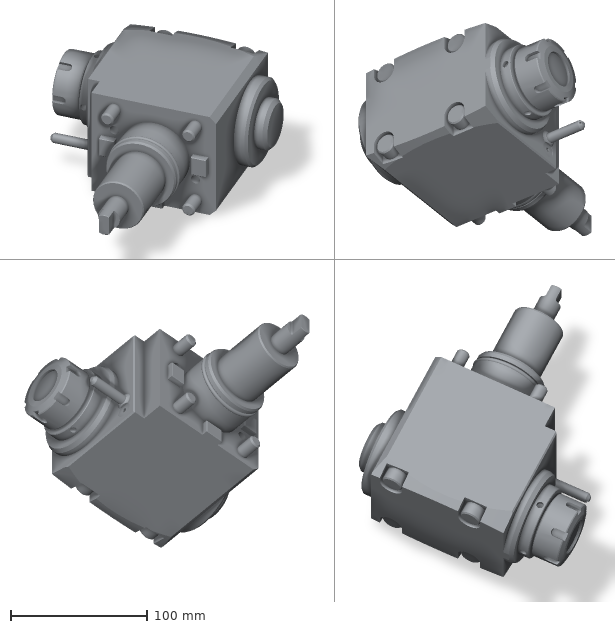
import cadquery as cq
import math


HOUSING_LEFT = -60.2
HOUSING_RIGHT = 48.2
HOUSING_DEPTH = 106.5
HALF_HEIGHT = 42.5
STEP_LEFT = -50.0
STEP_DEPTH = 17.0
LEFT_CHAMFER = 1.1
RIGHT_CHAMFER = 5.0

RELIEF_AXIS_X = -7.5
RELIEF_RADIUS = 132.0
RELIEF_REAR_Y = 100.0
RELIEF_SLOPE = 0.32
RELIEF_REACH = 40.0

SCREW_OFFSET = 32.0
SCREW_RADIUS = 5.0
SCREW_PROJECTION = 15.3
SCREW_CHAMFER = 1.2
HEAD_RADIUS = 8.0
HEAD_HEIGHT = 10.0
HEAD_CHAMFER = 1.0
POCKET_RADIUS = 9.1
POCKET_DEPTH = 11.5

KEY_HEIGHT = 5.0
KEY_LENGTH = 15.0
KEY_WIDTH = 12.0
SIDE_KEY_X = 36.2
KEY_CHAMFER = 0.5
LOCATING_X = 32.0
LOCATING_Z = 14.1
LOCATING_RADIUS = 3.5
LOCATING_DEPTH = 10.0
DRILL_HALF_ANGLE = math.radians(59)

SPIGOT_RADIUS = 27.5
SPIGOT_END = 30.0
SPIGOT_CHAMFER = (0.9, 1.9)
RING_POSITION = 22.3
RING_SECTION = 1.65
RING_CENTRE_RADIUS = 26.6
GROOVE_START = 20.9
GROOVE_END = 24.7
GROOVE_RADIUS = 25.2
SHANK_RADIUS = 20.0
SHANK_END = 75.5
SHANK_CHAMFER = (0.7, 1.3)
DRIVE_RADIUS = 8.5
DRIVE_END = 104.0
DRIVE_CHAMFER = 0.4
TANG_START = 93.6
TANG_THICKNESS = 8.0
TANG_FILLET = 1.3

SPINDLE_Y = 70.0
COLLAR_LEFT = -67.8
COLLAR_RADIUS = 36.8
COLLAR_CHAMFER = (1.8, 3.3)
FLANGE_LEFT = -76.3
FLANGE_RADIUS = 28.1
FLANGE_CHAMFER = 0.5
FLANGE_HOLE_X = -72.3
FLANGE_HOLE_RADIUS = 2.6
FLANGE_HOLE_DEPTH = 3.0
FLANGE_HOLES = 4
NOSE_RADIUS = 20.6
NOSE_LEFT = -90.0
COLLET_RADIUS = 13.6
COLLET_LEFT = -98.4

COVER_RADIUS = 33.9
COVER_RIGHT = 58.5
COVER_CHAMFER = 2.0
BUTTON_NECK_RADIUS = 19.3
BUTTON_NECK_RIGHT = 59.5
BUTTON_RADIUS = 19.6
BUTTON_RIGHT = 68.0
BUTTON_CHAMFER = 2.8

NUT_LEFT = -100.4
NUT_RIGHT = -77.8
NUT_RADIUS = 25.0
NUT_FACE_RADIUS = 18.1
NUT_CONE_RADIUS = 24.4
NUT_CONE_LENGTH = 1.8
NUT_EDGE_LENGTH = 2.6
NUT_REAR_CHAMFER = (0.5, 0.9)
SLOT_COUNT = 6
SLOT_WIDTH = 6.2
SLOT_END = -87.6
SLOT_FLOOR_RADIUS = 21.7

NOZZLE_Y = 27.9
NOZZLE_Z = -22.0
NOZZLE_RADIUS = 3.85
NOZZLE_LEFT = -92.4
NOZZLE_TIP_RADIUS = 2.0
NOZZLE_TIP_LENGTH = 2.3
JET_RADIUS = 0.8
JET_X = -91.4
JET_OFFSET = 2.6
JET_DEPTH = 3.0
JET_RUN_OUT = 2.0
SEAT_HEIGHT = 1.7
SEAT_RADIUS = 6.5
SEAT_TOP_RADIUS = 4.4
SEAT_FLAT_Z = -26.9
CLAMP_Z = -31.8
CLAMP_RADIUS = 6.0
CLAMP_RECESS = 0.3
CLAMP_HEX = 3.5
CLAMP_HEX_DEPTH = 3.0


def turned_about_x(profile, y=SPINDLE_Y, z=0.0):
    """Solid of revolution about a line along X; the profile lists (x, radius) pairs."""
    solid = cq.Workplane("XY").polyline(profile).close().revolve(360, (0, 0, 0), (1, 0, 0))
    return solid.translate((0, y, z))


def turned_about_y(profile, x=0.0, z=0.0):
    """Solid of revolution about a line along Y; the profile lists (radius, y) pairs."""
    solid = cq.Workplane("XY").polyline(profile).close().revolve(360, (0, 0, 0), (0, 1, 0))
    return solid.translate((x, 0, z))


def box_between(low, high):
    size = [b - a for a, b in zip(low, high)]
    return cq.Workplane("XY").box(*size, centered=False).translate(low)


def rear_relief():
    """Cutter for the conical relief of the top rear edge."""
    outer = RELIEF_RADIUS + RELIEF_REACH
    inner = RELIEF_RADIUS - RELIEF_REACH
    slope_rise = RELIEF_REACH * RELIEF_SLOPE
    profile = [
        (inner, HALF_HEIGHT + slope_rise),
        (outer, HALF_HEIGHT - slope_rise),
        (outer, HALF_HEIGHT + slope_rise),
    ]
    ring = cq.Workplane("XZ").polyline(profile).close().revolve(360, (0, 0, 0), (0, 1, 0))
    return ring.translate((RELIEF_AXIS_X, RELIEF_REAR_Y - RELIEF_RADIUS, 0))


def make_block():
    main = box_between(
        (HOUSING_LEFT, STEP_DEPTH, -HALF_HEIGHT), (HOUSING_RIGHT, HOUSING_DEPTH, HALF_HEIGHT)
    )
    main = main.faces("<X").edges("|Y or (|Z and <Y)").chamfer(LEFT_CHAMFER)
    front = box_between(
        (STEP_LEFT, 0, -HALF_HEIGHT), (HOUSING_RIGHT, STEP_DEPTH, HALF_HEIGHT)
    )
    block = main.union(front)
    block = block.faces(">X").edges("|Y").chamfer(RIGHT_CHAMFER)
    relief = rear_relief()
    return block.cut(relief).cut(relief.mirror("XY"))


def screw_pocket(x, z):
    """Rear counterbore, open to the nearer of the top and bottom faces."""
    side = math.copysign(1, z)
    floor_y = HOUSING_DEPTH - POCKET_DEPTH
    bore = cq.Solid.makeCylinder(
        POCKET_RADIUS, POCKET_DEPTH, cq.Vector(x, floor_y, z), cq.Vector(0, 1, 0)
    )
    z_low, z_high = sorted((z, side * HALF_HEIGHT))
    opening = box_between(
        (x - POCKET_RADIUS, floor_y, z_low), (x + POCKET_RADIUS, HOUSING_DEPTH, z_high)
    )
    return opening.union(cq.Workplane(bore))


def clamping_screw(x, z):
    seat_y = HOUSING_DEPTH - POCKET_DEPTH
    head_y = seat_y + HEAD_HEIGHT
    return turned_about_y(
        [
            (0, -SCREW_PROJECTION),
            (SCREW_RADIUS - SCREW_CHAMFER, -SCREW_PROJECTION),
            (SCREW_RADIUS, SCREW_CHAMFER - SCREW_PROJECTION),
            (SCREW_RADIUS, seat_y),
            (HEAD_RADIUS, seat_y),
            (HEAD_RADIUS, head_y - HEAD_CHAMFER),
            (HEAD_RADIUS - HEAD_CHAMFER, head_y),
            (0, head_y),
        ],
        x,
        z,
    )


def make_key(x, z, size_x, size_z):
    key = cq.Workplane("XY").box(size_x, KEY_HEIGHT, size_z)
    key = key.faces("<Y").edges().chamfer(KEY_CHAMFER)
    return key.translate((x, -KEY_HEIGHT / 2, z))


def drill_tip(radius):
    return radius / math.tan(DRILL_HALF_ANGLE)


def locating_holes():
    drilled = turned_about_y(
        [
            (0, 0),
            (LOCATING_RADIUS, 0),
            (LOCATING_RADIUS, LOCATING_DEPTH),
            (0, LOCATING_DEPTH + drill_tip(LOCATING_RADIUS)),
        ],
        -LOCATING_X,
        LOCATING_Z,
    )
    flat = turned_about_y(
        [
            (0, 0),
            (LOCATING_RADIUS, 0),
            (LOCATING_RADIUS, LOCATING_DEPTH),
            (0, LOCATING_DEPTH),
        ],
        LOCATING_X,
        -LOCATING_Z,
    )
    return drilled.union(flat)


def make_drive_shaft():
    spigot_radial, spigot_axial = SPIGOT_CHAMFER
    shank_radial, shank_axial = SHANK_CHAMFER
    shaft = turned_about_y(
        [
            (0, 0),
            (SPIGOT_RADIUS, 0),
            (SPIGOT_RADIUS, -GROOVE_START),
            (GROOVE_RADIUS, -GROOVE_START),
            (GROOVE_RADIUS, -GROOVE_END),
            (SPIGOT_RADIUS, -GROOVE_END),
            (SPIGOT_RADIUS, spigot_axial - SPIGOT_END),
            (SPIGOT_RADIUS - spigot_radial, -SPIGOT_END),
            (SHANK_RADIUS, -SPIGOT_END),
            (SHANK_RADIUS, shank_axial - SHANK_END),
            (SHANK_RADIUS - shank_radial, -SHANK_END),
            (DRIVE_RADIUS, -SHANK_END),
            (DRIVE_RADIUS, DRIVE_CHAMFER - DRIVE_END),
            (DRIVE_RADIUS - DRIVE_CHAMFER, -DRIVE_END),
            (0, -DRIVE_END),
        ]
    )
    ring_section = cq.Workplane("XY").moveTo(-RING_CENTRE_RADIUS, -RING_POSITION).circle(RING_SECTION)
    sealing_ring = ring_section.revolve(360, (0, 0, 0), (0, 1, 0))
    shaft = shaft.union(sealing_ring)
    for side in (-1, 1):
        shaft = shaft.cut(tang_flat(side))
    return shaft


def tang_flat(side):
    """Cutter for one flat of the drive tang, rounded where it meets the shoulder."""
    inner, outer = sorted((side * TANG_THICKNESS / 2, side * DRIVE_RADIUS))
    cutter = box_between((inner, -DRIVE_END, -DRIVE_RADIUS), (outer, -TANG_START, DRIVE_RADIUS))
    root = cutter.edges("|Z").edges(">Y").edges("<X" if side > 0 else ">X")
    return root.fillet(TANG_FILLET)


def make_spindle():
    """Collar, flange and collet on the left of the housing."""
    collar_radial, collar_axial = COLLAR_CHAMFER
    spindle = turned_about_x(
        [
            (HOUSING_LEFT, 0),
            (HOUSING_LEFT, COLLAR_RADIUS),
            (COLLAR_LEFT + collar_axial, COLLAR_RADIUS),
            (COLLAR_LEFT, COLLAR_RADIUS - collar_radial),
            (COLLAR_LEFT, FLANGE_RADIUS),
            (FLANGE_LEFT + FLANGE_CHAMFER, FLANGE_RADIUS),
            (FLANGE_LEFT, FLANGE_RADIUS - FLANGE_CHAMFER),
            (FLANGE_LEFT, NOSE_RADIUS),
            (NOSE_LEFT, NOSE_RADIUS),
            (NOSE_LEFT, COLLET_RADIUS),
            (COLLET_LEFT, COLLET_RADIUS),
            (COLLET_LEFT, 0),
        ]
    )
    behind_housing = box_between(
        (COLLAR_LEFT, HOUSING_DEPTH, -COLLAR_RADIUS),
        (HOUSING_LEFT, SPINDLE_Y + COLLAR_RADIUS, COLLAR_RADIUS),
    )
    spindle = spindle.cut(behind_housing)
    floor_radius = FLANGE_RADIUS - FLANGE_HOLE_DEPTH
    hole = turned_about_y(
        [
            (0, floor_radius - drill_tip(FLANGE_HOLE_RADIUS)),
            (FLANGE_HOLE_RADIUS, floor_radius),
            (FLANGE_HOLE_RADIUS, FLANGE_RADIUS),
            (0, FLANGE_RADIUS),
        ],
        FLANGE_HOLE_X,
    )
    for i in range(FLANGE_HOLES):
        turned = hole.rotate((0, 0, 0), (1, 0, 0), i * 360 / FLANGE_HOLES)
        spindle = spindle.cut(turned.translate((0, SPINDLE_Y, 0)))
    return spindle


def make_end_cover():
    return turned_about_x(
        [
            (HOUSING_RIGHT, 0),
            (HOUSING_RIGHT, COVER_RADIUS),
            (COVER_RIGHT - COVER_CHAMFER, COVER_RADIUS),
            (COVER_RIGHT, COVER_RADIUS - COVER_CHAMFER),
            (COVER_RIGHT, BUTTON_NECK_RADIUS),
            (BUTTON_NECK_RIGHT, BUTTON_NECK_RADIUS),
            (BUTTON_NECK_RIGHT, BUTTON_RADIUS),
            (BUTTON_RIGHT - BUTTON_CHAMFER, BUTTON_RADIUS),
            (BUTTON_RIGHT, BUTTON_RADIUS - BUTTON_CHAMFER),
            (BUTTON_RIGHT, 0),
        ]
    )


def make_nozzle():
    """Coolant nozzle on a conical seat with one flat."""
    seat_left = HOUSING_LEFT - SEAT_HEIGHT
    nozzle = turned_about_x(
        [
            (HOUSING_LEFT, 0),
            (HOUSING_LEFT, SEAT_RADIUS),
            (seat_left, SEAT_TOP_RADIUS),
            (seat_left, NOZZLE_RADIUS),
            (NOZZLE_LEFT + NOZZLE_TIP_LENGTH, NOZZLE_RADIUS),
            (NOZZLE_LEFT, NOZZLE_TIP_RADIUS),
            (NOZZLE_LEFT, 0),
        ],
        NOZZLE_Y,
        NOZZLE_Z,
    )
    flat = box_between(
        (seat_left, NOZZLE_Y - SEAT_RADIUS, NOZZLE_Z - SEAT_RADIUS),
        (HOUSING_LEFT, NOZZLE_Y + SEAT_RADIUS, SEAT_FLAT_Z),
    )
    return nozzle.cut(flat).cut(coolant_jet())


def coolant_jet():
    """Cutter for the bore in the bevelled nozzle tip, at 45 degrees to the nozzle axis."""
    outward = cq.Vector(-1, 1, 0).normalized()
    mouth = cq.Vector(JET_X, NOZZLE_Y + JET_OFFSET, NOZZLE_Z)
    start = mouth + outward * JET_RUN_OUT
    bore = cq.Solid.makeCylinder(JET_RADIUS, JET_DEPTH + JET_RUN_OUT, start, outward * -1)
    return cq.Workplane(bore)


def clamp_recess():
    """Shallow recess with the hexagon socket of the nozzle's clamping screw."""
    face = cq.Workplane("YZ", origin=(HOUSING_LEFT, NOZZLE_Y, CLAMP_Z))
    recess = face.circle(CLAMP_RADIUS).extrude(CLAMP_RECESS)
    above = box_between(
        (HOUSING_LEFT, NOZZLE_Y - CLAMP_RADIUS, SEAT_FLAT_Z),
        (HOUSING_LEFT + CLAMP_RECESS, NOZZLE_Y + CLAMP_RADIUS, CLAMP_Z + CLAMP_RADIUS),
    )
    hex_corners = CLAMP_HEX / math.cos(math.pi / 6)
    socket = face.polygon(6, hex_corners).extrude(CLAMP_HEX_DEPTH)
    return recess.cut(above).union(socket)


def make_holder():
    holder = make_block()
    corners = [(x, z) for x in (-SCREW_OFFSET, SCREW_OFFSET) for z in (-SCREW_OFFSET, SCREW_OFFSET)]
    for x, z in corners:
        holder = holder.cut(screw_pocket(x, z)).union(clamping_screw(x, z))
    holder = holder.cut(locating_holes()).cut(clamp_recess())
    for x in (-SIDE_KEY_X, SIDE_KEY_X):
        holder = holder.union(make_key(x, 0, KEY_WIDTH, KEY_LENGTH))
    holder = holder.union(make_key(0, KEY_WIDTH / 2 - HALF_HEIGHT, KEY_LENGTH, KEY_WIDTH))
    holder = holder.union(make_drive_shaft())
    holder = holder.union(make_end_cover()).union(make_nozzle())
    return holder.union(make_spindle())


def wrench_slot():
    """Cutter for one nut slot on the -Y side: open at the face, round at its end."""
    radius = SLOT_WIDTH / 2
    length = SLOT_END - NUT_LEFT
    depth = NUT_RADIUS - SLOT_FLOOR_RADIUS
    plane = cq.Workplane("XZ", origin=(NUT_LEFT, -SLOT_FLOOR_RADIUS, 0))
    return (
        plane.moveTo(0, -radius)
        .lineTo(length - radius, -radius)
        .threePointArc((length, 0), (length - radius, radius))
        .lineTo(0, radius)
        .close()
        .extrude(depth)
    )


def make_nut():
    rear_radial, rear_axial = NUT_REAR_CHAMFER
    nut = turned_about_x(
        [
            (NUT_LEFT, COLLET_RADIUS),
            (NUT_LEFT, NUT_FACE_RADIUS),
            (NUT_LEFT + NUT_CONE_LENGTH, NUT_CONE_RADIUS),
            (NUT_LEFT + NUT_EDGE_LENGTH, NUT_RADIUS),
            (NUT_RIGHT - rear_axial, NUT_RADIUS),
            (NUT_RIGHT, NUT_RADIUS - rear_radial),
            (NUT_RIGHT, NOSE_RADIUS),
            (NOSE_LEFT, NOSE_RADIUS),
            (NOSE_LEFT, COLLET_RADIUS),
        ]
    )
    for i in range(SLOT_COUNT):
        slot = wrench_slot().rotate((0, 0, 0), (1, 0, 0), i * 360 / SLOT_COUNT)
        nut = nut.cut(slot.translate((0, SPINDLE_Y, 0)))
    return nut


holder = make_holder()
collet_nut = make_nut()

result = cq.Compound.makeCompound([holder.val(), collet_nut.val()])